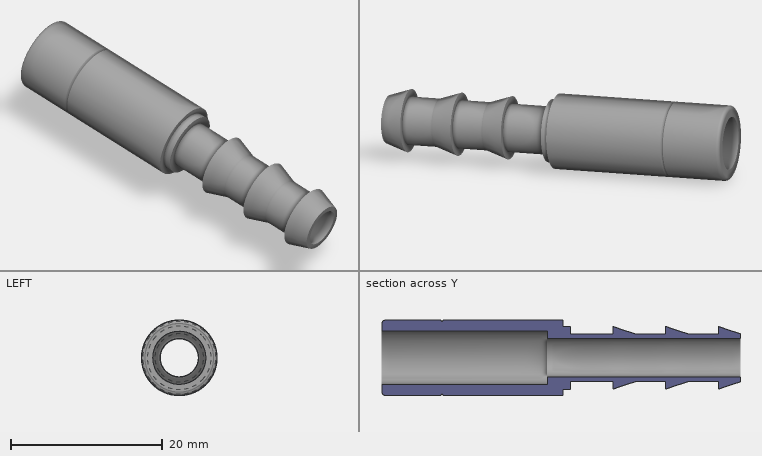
import cadquery as cq

total_length = 47.5
body_length = 24.0
collar_length = 1.0
groove_start = 7.8
groove_width = 0.4
socket_depth = 21.9

body_diameter = 10.0
collar_diameter = 8.4
shank_diameter = 6.4
socket_diameter = 7.05
bore_diameter = 5.05

groove_depth = 0.2
rim_radius = 0.48

barb_count = 3
barb_crest_diameter = collar_diameter
barb_length = 3.0
barb_pitch = 7.0


def cylinder(diameter, start, length):
    """Cylinder along +X beginning at the given station."""
    return cq.Workplane("YZ", origin=(start, 0, 0)).circle(diameter / 2).extrude(length)


def v_groove():
    """Ring with a triangular section, cut into the outside of the body."""
    radius = body_diameter / 2
    return (
        cq.Workplane("XY")
        .moveTo(groove_start, radius)
        .lineTo(groove_start + groove_width / 2, radius - groove_depth)
        .lineTo(groove_start + groove_width, radius)
        .close()
        .revolve(360, (0, 0, 0), (1, 0, 0))
    )


def barb(tip_end):
    """Conical barb whose narrow end lies at the given station."""
    crest = tip_end - barb_length
    return (
        cq.Workplane("XY")
        .moveTo(crest, 0)
        .lineTo(crest, barb_crest_diameter / 2)
        .lineTo(tip_end, shank_diameter / 2)
        .lineTo(tip_end, 0)
        .close()
        .revolve(360, (0, 0, 0), (1, 0, 0))
    )


body = cylinder(body_diameter, 0, body_length).faces("<X").edges().fillet(rim_radius)
body = body.cut(v_groove())

collar = cylinder(collar_diameter, body_length, collar_length)
shank = cylinder(shank_diameter, body_length, total_length - body_length)
result = body.union(collar).union(shank)

for index in range(barb_count):
    result = result.union(barb(total_length - index * barb_pitch))

result = result.cut(cylinder(socket_diameter, 0, socket_depth))
result = result.cut(cylinder(bore_diameter, 0, total_length))